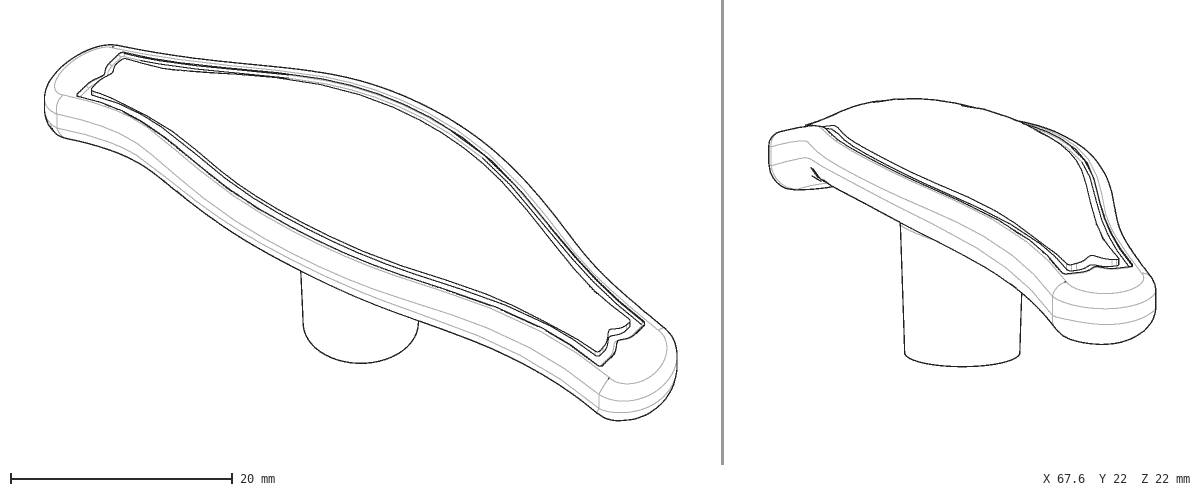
import cadquery as cq
import math

length = 67.6
width = 22.0
height = 22.0

bow_radius = 93.3
rim_top = 19.15
bar_thickness = 5.4
underside = rim_top - bar_thickness
bar_middle = rim_top - bar_thickness / 2
bend_angle = 60.0
underside_crown_radius = 43.3
slab_margin = 2.0
top_edge_radius = 1.3
bottom_edge_radius = 2.4

shoulder_x = 8.8
shoulder_half_width = 10.0
waist_x = 17.4
waist_half_width = 7.25
neck_x = 30.3
neck_half_width = 5.0

panel_half_length = 29.35
panel_inset = 1.6
panel_end_half_width = 3.5
panel_corner_radius = 0.35
notch_half_width = 1.75
notch_depth = 0.6
groove_width = 0.95
groove_depth = 0.35
groove_floor_radius = 0.2
dome_long_radius = 62.2
dome_overlap = 0.4
dome_edge_lift = 0.15

stem_bottom_radius = 5.2
stem_top_radius = 5.75
stem_fillet = 2.4


def side_points(end_x, end_half_width, inset):
    """Points along the +Y edge of an outline, from its -X end to its +X end."""
    right_half = [
        (shoulder_x, shoulder_half_width - inset),
        (waist_x, waist_half_width - inset),
        (end_x, end_half_width),
    ]
    left_half = [(-x, y) for x, y in reversed(right_half)]
    return left_half + [(0, width / 2 - inset)] + right_half


def mirrored(points):
    """The same points turned half a revolution about Z."""
    return [(-x, -y) for x, y in points]


def prism(outline):
    """Close an outline and extrude it over the full height of the part."""
    return outline.close().extrude(height)


def bar_prism():
    """Bar outline with half-elliptical ends, extruded over the full height."""
    side = side_points(neck_x, neck_half_width, 0)
    along = [(1, 0), (1, 0)]
    back = [(-1, 0), (-1, 0)]
    tip_reach = length / 2 - neck_x
    outline = cq.Workplane("XY").moveTo(*side[0]).spline(side[1:], tangents=along, includeCurrent=True)
    outline = outline.ellipseArc(tip_reach, neck_half_width, -90, 90, sense=-1)
    outline = outline.spline(mirrored(side)[1:], tangents=back, includeCurrent=True)
    outline = outline.ellipseArc(tip_reach, neck_half_width, 90, 270, sense=-1)
    return prism(outline)


def panel_prism(inset):
    """Panel outline, moved inward by inset, with a wavy notch at each end."""
    end_x = panel_half_length - inset
    side = side_points(end_x, panel_end_half_width - inset, panel_inset + inset)
    notch = [(end_x, notch_half_width), (end_x - notch_depth, 0), (end_x, -notch_half_width)]
    outline = cq.Workplane("XY").moveTo(*side[0]).spline(side[1:], includeCurrent=True)
    outline = outline.lineTo(*notch[0])
    outline = outline.spline(notch[1:], tangents=[(0, -1), (0, -1)], includeCurrent=True)
    outline = outline.lineTo(*mirrored(side)[0])
    outline = outline.spline(mirrored(side)[1:], includeCurrent=True)
    outline = outline.lineTo(*mirrored(notch)[0])
    outline = outline.spline(mirrored(notch)[1:], tangents=[(0, 1), (0, 1)], includeCurrent=True)
    return prism(outline).edges("|Z").fillet(panel_corner_radius)


def arc_sag(radius, half_chord):
    """Drop of an arc from its crest at the given distance from the middle."""
    return radius - math.sqrt(radius**2 - half_chord**2)


def bend(section, crest, radius):
    """Turn a YZ section, whose crest is at the given height, about an axis parallel to Y."""
    axis_z = crest - radius
    turned = section.close().revolve(bend_angle, (0, axis_z), (1, axis_z))
    return turned.rotate((0, 0, axis_z), (0, 1, axis_z), -bend_angle / 2)


def crowned_slab():
    """Slab of the bar bent to the bow: flat-topped, its underside crowned across the width."""
    half_width = width / 2 + slab_margin
    edge = underside + arc_sag(underside_crown_radius, half_width)
    section = cq.Workplane("YZ").moveTo(-half_width, rim_top).lineTo(half_width, rim_top)
    section = section.lineTo(half_width, edge).threePointArc((0, underside), (-half_width, edge))
    return bend(section, rim_top, bow_radius)


def rim_layer(depth):
    """Layer of constant depth under the bowed top surface, wider than the bar."""
    half_width = width / 2 + slab_margin
    bottom = rim_top - depth
    section = cq.Workplane("YZ").moveTo(-half_width, rim_top).lineTo(half_width, rim_top)
    section = section.lineTo(half_width, bottom).lineTo(-half_width, bottom)
    return bend(section, rim_top, bow_radius)


def grip_bar():
    """Bowed bar with its underside and top edges rounded."""
    bar = bar_prism().intersect(crowned_slab())
    bar = bar.faces("%TORUS").edges().fillet(bottom_edge_radius)
    return bar.faces("%CYLINDER").edges().fillet(top_edge_radius)


def panel_recess():
    """Shallow recess with a rounded floor edge; its margin around the dome is the groove."""
    recess = panel_prism(0).intersect(rim_layer(groove_depth))
    return recess.faces("%CYLINDER").faces("<Z").edges().fillet(groove_floor_radius)


def dome_section(x, edge_half_width):
    """Closed YZ section at x: an arc over the panel, just above the rim at both panel edges."""
    bow_drop = arc_sag(bow_radius, x)
    root = bar_middle - bow_drop
    crest = height - arc_sag(dome_long_radius, x)
    rise = crest - (rim_top - bow_drop + dome_edge_lift)
    cross_radius = (edge_half_width**2 + rise**2) / (2 * rise)
    half_width = edge_half_width + dome_overlap
    edge = crest - arc_sag(cross_radius, half_width)
    section = cq.Workplane("YZ", origin=(x, 0, 0)).moveTo(-half_width, edge)
    section = section.threePointArc((0, crest), (half_width, edge))
    section = section.lineTo(half_width, root).lineTo(-half_width, root)
    return section.close().val()


def dome():
    """Crown of the panel, lofted along X, rooted inside the bar and trimmed to the panel outline."""
    edge_points = side_points(panel_half_length, panel_end_half_width, panel_inset + groove_width)
    sections = [dome_section(x, edge_half_width) for x, edge_half_width in edge_points]
    crown = cq.Workplane(cq.Solid.makeLoft(sections))
    return panel_prism(groove_width).intersect(crown)


def stem():
    """Tapered round stem standing on Z = 0 and rooted inside the bar."""
    profile = cq.Workplane("XZ").lineTo(stem_bottom_radius, 0)
    profile = profile.lineTo(stem_top_radius, bar_middle).lineTo(0, bar_middle)
    return profile.close().revolve(360, (0, 0), (0, 1))


def bar_on_stem():
    """Bar and stem joined, with the joint under the bar filleted."""
    joined = grip_bar().union(stem())
    low_corner = (-stem_top_radius, -stem_top_radius, underside / 2)
    high_corner = (stem_top_radius, stem_top_radius, bar_middle)
    joint = cq.selectors.BoxSelector(low_corner, high_corner)
    return joined.edges(joint).fillet(stem_fillet)


result = bar_on_stem().cut(panel_recess()).union(dome())